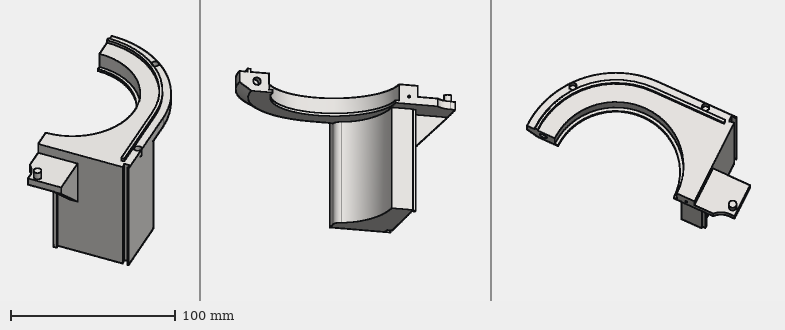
import cadquery as cq
import math

POST_TOP = 64.0
PLATE_TOP = 76.0
RIDGE_TOP = 78.0

PLATE_RADIUS = 60.0
PLATE_FRONT = -53.0
SEAT_RADIUS = 41.2
LIP_RADIUS = 39.0
LIP_TOP = POST_TOP + 1.7
CHAMFER_WIDTH = 7.5
CHAMFER_HEIGHT = 5.0

RIDGE_OUTER = 54.8
RIDGE_INNER = 52.8
RIDGE_FRONT = -47.7

POST_LEFT = 10.0
POST_BACK = -14.6
POST_FRONT_WALL = 13.6
POST_RIGHT_WALL = 11.5
POST_ROUNDING = 5.0

TONGUE_LEFT = 11.1
TONGUE_WIDTH = 2.1
TONGUE_HEIGHT = 2.0
GROOVE_X = 57.6
GROOVE_FLOOR_WIDTH = 3.8
GROOVE_MOUTH_WIDTH = 2.8
GROOVE_DEPTH = 3.3

BRACKET_WIDTH = 26.2
BRACKET_FRONT = -78.0
BRACKET_THICKNESS = 5.0
BRACKET_TOP = POST_TOP + BRACKET_THICKNESS
NOTCH_CENTRE = (-7.9, -74.7)
NOTCH_RADIUS = 12.0
GUSSET_WIDTH = 5.2
PIN_CENTRE = (9.0, -74.5)
PIN_DIAMETER = 4.7
PIN_HEIGHT = 5.0

TOP_HOLE_DIAMETER = 4.6
TOP_HOLE_RADIUS = 57.6
TOP_HOLE_DEPTH = 5.0
ARC_HOLE_ANGLE = 52.6
STRAIGHT_HOLE_Y = -32.9
END_HOLE_DIAMETER = 4.7
END_HOLE_Y = 48.9
END_HOLE_Z = 70.4
SMALL_HOLE_DIAMETER = 1.3
SMALL_HOLE_Y = -47.5
SMALL_HOLE_Z = 68.7
END_HOLE_DEPTH = 5.0


def box(x_range, y_range, z_range):
    """Box between the given limits."""
    lengths = [high - low for low, high in (x_range, y_range, z_range)]
    corner = (x_range[0], y_range[0], z_range[0])
    return cq.Workplane("XY").box(*lengths, centered=False).translate(corner)


def cylinder(radius, bottom, top):
    """Cylinder on the Z axis."""
    return cq.Workplane("XY").workplane(offset=bottom).circle(radius).extrude(top - bottom)


def x_hole(diameter, y, z):
    """Blind hole cutter entering along +X from the plane X = 0."""
    return cq.Workplane("YZ").center(y, z).circle(diameter / 2).extrude(END_HOLE_DEPTH)


def make_plate():
    """Quarter disc with its lower rim chamfered, plus the straight corner, bored for the seat."""
    chamfer_start = PLATE_RADIUS - CHAMFER_WIDTH
    chamfer_top = POST_TOP + CHAMFER_HEIGHT
    section = [
        (0, POST_TOP),
        (chamfer_start, POST_TOP),
        (PLATE_RADIUS, chamfer_top),
        (PLATE_RADIUS, PLATE_TOP),
        (0, PLATE_TOP),
    ]
    profile = cq.Workplane("XZ").polyline(section).close()
    disc = profile.revolve(90, (0, 0), (0, 1))
    straight = cq.Workplane("XZ").polyline(section).close().extrude(-POST_BACK)
    corner = box((0, PLATE_RADIUS), (PLATE_FRONT, POST_BACK), (POST_TOP, PLATE_TOP))
    plate = disc.union(straight).union(corner)
    plate = plate.cut(cylinder(LIP_RADIUS, POST_TOP, PLATE_TOP))
    return plate.cut(cylinder(SEAT_RADIUS, LIP_TOP, PLATE_TOP))


def make_ridge():
    """Thin wall following the outer edge of the plate."""
    diagonal = math.sqrt(0.5)
    return (
        cq.Workplane("XY")
        .workplane(offset=PLATE_TOP)
        .moveTo(0, RIDGE_OUTER)
        .threePointArc((RIDGE_OUTER * diagonal, RIDGE_OUTER * diagonal), (RIDGE_OUTER, 0))
        .lineTo(RIDGE_OUTER, RIDGE_FRONT)
        .lineTo(RIDGE_INNER, RIDGE_FRONT)
        .lineTo(RIDGE_INNER, 0)
        .threePointArc((RIDGE_INNER * diagonal, RIDGE_INNER * diagonal), (0, RIDGE_INNER))
        .close()
        .extrude(RIDGE_TOP - PLATE_TOP)
    )


def make_post():
    """Corner post with an elliptical hollow, its free inner edge rounded."""
    half_x = PLATE_RADIUS - POST_RIGHT_WALL - POST_LEFT
    half_y = POST_BACK - PLATE_FRONT - POST_FRONT_WALL
    outline = (
        cq.Workplane("XY")
        .moveTo(POST_LEFT + half_x, POST_BACK)
        .lineTo(PLATE_RADIUS, POST_BACK)
        .lineTo(PLATE_RADIUS, PLATE_FRONT)
        .lineTo(POST_LEFT, PLATE_FRONT)
        .lineTo(POST_LEFT, POST_BACK - half_y)
        .ellipseArc(half_x, half_y, 270, 360, startAtCurrent=True)
        .close()
    )
    inner_edge = cq.selectors.NearestToPointSelector((POST_LEFT + half_x, POST_BACK, POST_TOP / 2))
    return outline.extrude(POST_TOP).edges(inner_edge).fillet(POST_ROUNDING)


def make_tongue():
    """Square tongue along the full height of the post front."""
    x_range = (TONGUE_LEFT, TONGUE_LEFT + TONGUE_WIDTH)
    return box(x_range, (PLATE_FRONT - TONGUE_HEIGHT, PLATE_FRONT), (0, POST_TOP))


def make_groove():
    """Dovetail groove cutter running up through the post and the plate."""
    outline = [
        (GROOVE_X - GROOVE_MOUTH_WIDTH / 2, PLATE_FRONT),
        (GROOVE_X + GROOVE_MOUTH_WIDTH / 2, PLATE_FRONT),
        (GROOVE_X + GROOVE_FLOOR_WIDTH / 2, PLATE_FRONT + GROOVE_DEPTH),
        (GROOVE_X - GROOVE_FLOOR_WIDTH / 2, PLATE_FRONT + GROOVE_DEPTH),
    ]
    return cq.Workplane("XY").polyline(outline).close().extrude(PLATE_TOP)


def make_bracket():
    """Notched shelf with a locating pin, carried by a 45 degree gusset."""
    shelf = box((0, BRACKET_WIDTH), (BRACKET_FRONT, PLATE_FRONT), (POST_TOP, BRACKET_TOP))
    shelf = shelf.cut(cylinder(NOTCH_RADIUS, POST_TOP, BRACKET_TOP).translate((*NOTCH_CENTRE, 0)))
    notch_edge = NOTCH_CENTRE[0] + NOTCH_RADIUS
    shelf = shelf.cut(box((0, notch_edge), (BRACKET_FRONT, NOTCH_CENTRE[1]), (POST_TOP, BRACKET_TOP)))
    reach = PLATE_FRONT - BRACKET_FRONT
    gusset = (
        cq.Workplane("YZ")
        .workplane(offset=BRACKET_WIDTH - GUSSET_WIDTH)
        .polyline([(PLATE_FRONT, POST_TOP), (BRACKET_FRONT, POST_TOP), (PLATE_FRONT, POST_TOP - reach)])
        .close()
        .extrude(GUSSET_WIDTH)
    )
    pin = cylinder(PIN_DIAMETER / 2, BRACKET_TOP, BRACKET_TOP + PIN_HEIGHT).translate((*PIN_CENTRE, 0))
    return shelf.union(gusset).union(pin)


def make_top_holes():
    """Blind hole cutters in the rim outside the ridge."""
    angle = math.radians(ARC_HOLE_ANGLE)
    centres = [
        (TOP_HOLE_RADIUS * math.cos(angle), TOP_HOLE_RADIUS * math.sin(angle)),
        (TOP_HOLE_RADIUS, STRAIGHT_HOLE_Y),
    ]
    floor = cq.Workplane("XY").workplane(offset=PLATE_TOP - TOP_HOLE_DEPTH)
    return floor.pushPoints(centres).circle(TOP_HOLE_DIAMETER / 2).extrude(TOP_HOLE_DEPTH)


body = make_plate().union(make_ridge()).union(make_post()).union(make_bracket()).union(make_tongue())
body = body.cut(make_groove()).cut(make_top_holes())
body = body.cut(x_hole(END_HOLE_DIAMETER, END_HOLE_Y, END_HOLE_Z))
result = body.cut(x_hole(SMALL_HOLE_DIAMETER, SMALL_HOLE_Y, SMALL_HOLE_Z))